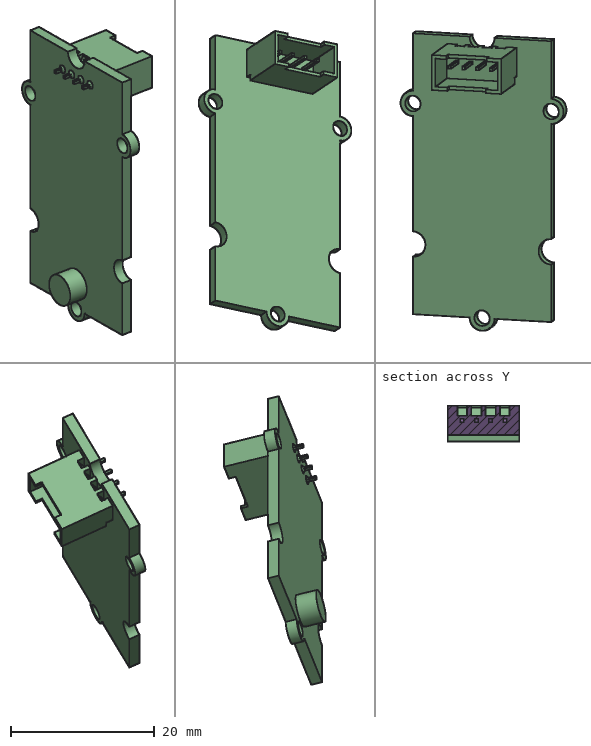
import cadquery as cq

BOARD_WIDTH = 20.0
BOARD_HEIGHT = 40.0
BOARD_THICKNESS = 1.6
FRONT_Y = -BOARD_THICKNESS
TOP_Z = BOARD_HEIGHT / 2

TAB_RADIUS = 1.8
TAB_HOLE_DIAMETER = 2.2
TAB_CENTRES = [
    (-BOARD_WIDTH / 2, BOARD_HEIGHT / 4),
    (BOARD_WIDTH / 2, BOARD_HEIGHT / 4),
    (0, -BOARD_HEIGHT / 2),
]
NOTCH_RADIUS = TAB_RADIUS
NOTCH_CENTRES = [
    (-BOARD_WIDTH / 2, -BOARD_HEIGHT / 4),
    (BOARD_WIDTH / 2, -BOARD_HEIGHT / 4),
    (0, BOARD_HEIGHT / 2),
]

SENSOR_DIAMETER = 4.6
SENSOR_HEIGHT = 3.0
SENSOR_EDGE_OFFSET = 4.0
SENSOR_Z = -BOARD_HEIGHT / 2 + SENSOR_EDGE_OFFSET

HOUSING_WIDTH = 10.0
HOUSING_DEPTH = 8.0
HOUSING_HEIGHT = 5.0
HOUSING_EDGE_OFFSET = 1.2
HOUSING_TOP_Z = TOP_Z - HOUSING_EDGE_OFFSET
HOUSING_BOTTOM_Z = HOUSING_TOP_Z - HOUSING_HEIGHT
HOUSING_WALL = 0.5
HOUSING_FLOOR = 2.0
UPPER_MOUTH_WIDTH = 5.85
LOWER_MOUTH_WIDTH = 5.56
MOUTH_DEPTH = 1.0

STEP_DEPTH = 1.0
STEP_HEIGHT = 0.9

WINDOW_DEPTH = 1.0
WINDOW_GAP = 0.25
WINDOW_WALL = 0.3
WINDOW_SLOPE_HEIGHT = 1.6
WINDOW_INNER_X = 0.31
WINDOW_RIB = 0.62
INNER_WINDOW_WIDTH = 1.38
OUTER_WINDOW_WIDTH = 1.28

PIN_PITCH = 2.0
PIN_COUNT = 4
PIN_SIZE = 0.4
PIN_CHAMFER = 0.08
PIN_EDGE_OFFSET = 3.25
PIN_Z = TOP_Z - PIN_EDGE_OFFSET
PIN_PROTRUSION = 1.4
PIN_INNER_END_Y = 6.0
SOLDER_DIAMETER = 1.2
SOLDER_HEIGHT = 0.4
SOLDER_SAG = 0.06

PIN_XS = [(i - (PIN_COUNT - 1) / 2) * PIN_PITCH for i in range(PIN_COUNT)]


def block(x_range, y_range, z_range):
    """Axis-aligned block between the given limits."""
    size = [high - low for low, high in (x_range, y_range, z_range)]
    corner = (x_range[0], y_range[0], z_range[0])
    return cq.Workplane("XY").box(*size, centered=False).translate(corner)


def cylinder(diameter, length, x, z, start_y):
    """Cylinder running towards -Y from start_y."""
    plane = cq.Workplane("XZ", origin=(x, start_y, z))
    return plane.circle(diameter / 2).extrude(length)


def pin_shaft(x):
    """Square pin from inside the housing out past the board's front face."""
    half = PIN_SIZE / 2
    return block(
        (x - half, x + half),
        (FRONT_Y - PIN_PROTRUSION, PIN_INNER_END_Y),
        (PIN_Z - half, PIN_Z + half),
    )


def make_board():
    board = block(
        (-BOARD_WIDTH / 2, BOARD_WIDTH / 2),
        (FRONT_Y, 0),
        (-BOARD_HEIGHT / 2, BOARD_HEIGHT / 2),
    )
    for x, z in TAB_CENTRES:
        board = board.union(cylinder(2 * TAB_RADIUS, BOARD_THICKNESS, x, z, 0))
    for x, z in TAB_CENTRES:
        board = board.cut(cylinder(TAB_HOLE_DIAMETER, BOARD_THICKNESS, x, z, 0))
    for x, z in NOTCH_CENTRES:
        board = board.cut(cylinder(2 * NOTCH_RADIUS, BOARD_THICKNESS, x, z, 0))
    for x in PIN_XS:
        board = board.cut(pin_shaft(x))
    return board


def make_sensor():
    return cylinder(SENSOR_DIAMETER, SENSOR_HEIGHT, 0, SENSOR_Z, FRONT_Y)


def window(x_low, x_high):
    """Recess that narrows down a slope to a thin gap along the board."""
    wall_z = HOUSING_TOP_Z - WINDOW_WALL
    profile = [
        (0, HOUSING_TOP_Z),
        (WINDOW_DEPTH, HOUSING_TOP_Z),
        (WINDOW_DEPTH, wall_z),
        (WINDOW_GAP, wall_z - WINDOW_SLOPE_HEIGHT),
        (WINDOW_GAP, HOUSING_BOTTOM_Z),
        (0, HOUSING_BOTTOM_Z),
    ]
    sketch = cq.Workplane("YZ", origin=(x_low, 0, 0)).polyline(profile).close()
    return sketch.extrude(x_high - x_low)


def mouth(width, wall_bottom_z):
    """Notch through one of the two long walls at the open end of the cavity."""
    return block(
        (-width / 2, width / 2),
        (HOUSING_DEPTH - MOUTH_DEPTH, HOUSING_DEPTH),
        (wall_bottom_z, wall_bottom_z + HOUSING_WALL),
    )


def make_housing():
    half_width = HOUSING_WIDTH / 2
    housing = block(
        (-half_width, half_width),
        (0, HOUSING_DEPTH),
        (HOUSING_BOTTOM_Z, HOUSING_TOP_Z),
    )
    cavity = block(
        (HOUSING_WALL - half_width, half_width - HOUSING_WALL),
        (HOUSING_FLOOR, HOUSING_DEPTH),
        (HOUSING_BOTTOM_Z + HOUSING_WALL, HOUSING_TOP_Z - HOUSING_WALL),
    )
    step = block(
        (-half_width, half_width),
        (0, STEP_DEPTH),
        (HOUSING_BOTTOM_Z, HOUSING_BOTTOM_Z + STEP_HEIGHT),
    )
    housing = housing.cut(cavity).cut(step)
    housing = housing.cut(mouth(UPPER_MOUTH_WIDTH, HOUSING_TOP_Z - HOUSING_WALL))
    housing = housing.cut(mouth(LOWER_MOUTH_WIDTH, HOUSING_BOTTOM_Z))

    inner_end = WINDOW_INNER_X + INNER_WINDOW_WIDTH
    outer_start = inner_end + WINDOW_RIB
    outer_end = outer_start + OUTER_WINDOW_WIDTH
    for low, high in [(WINDOW_INNER_X, inner_end), (outer_start, outer_end)]:
        housing = housing.cut(window(low, high)).cut(window(-high, -low))
    for x in PIN_XS:
        housing = housing.cut(pin_shaft(x))
    return housing


def solder_cone(x):
    """Slightly hollow cone of solder between the board and the pin."""
    foot_radius = SOLDER_DIAMETER / 2
    neck_radius = PIN_SIZE / 2
    profile = (
        cq.Workplane("XY", origin=(x, FRONT_Y, PIN_Z))
        .lineTo(foot_radius, 0)
        .sagittaArc((neck_radius, -SOLDER_HEIGHT), -SOLDER_SAG)
        .lineTo(0, -SOLDER_HEIGHT)
        .close()
    )
    return profile.revolve(360, (0, 0, 0), (0, 1, 0))


def make_pin(x):
    """Pin with a chamfered tip and solder where it leaves the board."""
    shaft = pin_shaft(x).faces("<Y").chamfer(PIN_CHAMFER)
    return shaft.union(solder_cone(x))


board = make_board()
sensor = make_sensor()
housing = make_housing()
pins = [make_pin(x).val() for x in PIN_XS]

result = cq.Compound.makeCompound([board.val(), sensor.val(), housing.val(), *pins])